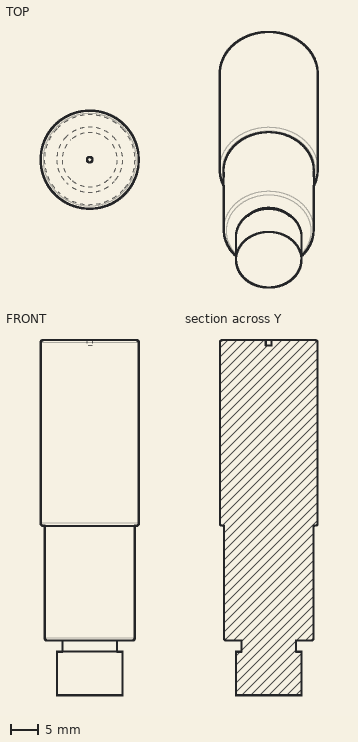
import cadquery as cq

tip_length = 8.0
neck_length = 2.0
body_length = 21.0
head_length = 34.0

tip_diameter = 12.0
neck_diameter = 10.0
body_diameter = 16.5
head_diameter = 18.0

edge_radius = 0.5
centre_hole_diameter = 1.0
centre_hole_depth = 1.0

neck_bottom = tip_length
body_bottom = neck_bottom + neck_length
head_bottom = body_bottom + body_length
top = head_bottom + head_length


def cylinder(diameter, bottom, length):
    """Solid cylinder on the Z axis, standing on the given height."""
    return cq.Workplane("XY").workplane(offset=bottom).circle(diameter / 2).extrude(length)


tip = cylinder(tip_diameter, 0, tip_length)
neck = cylinder(neck_diameter, neck_bottom, neck_length)

body = cylinder(body_diameter, body_bottom, body_length).faces("<Z").edges().fillet(edge_radius)
head = cylinder(head_diameter, head_bottom, head_length).faces("<Z or >Z").edges().fillet(edge_radius)

centre_hole = cylinder(centre_hole_diameter, top - centre_hole_depth, centre_hole_depth)

result = tip.union(neck).union(body).union(head).cut(centre_hole)